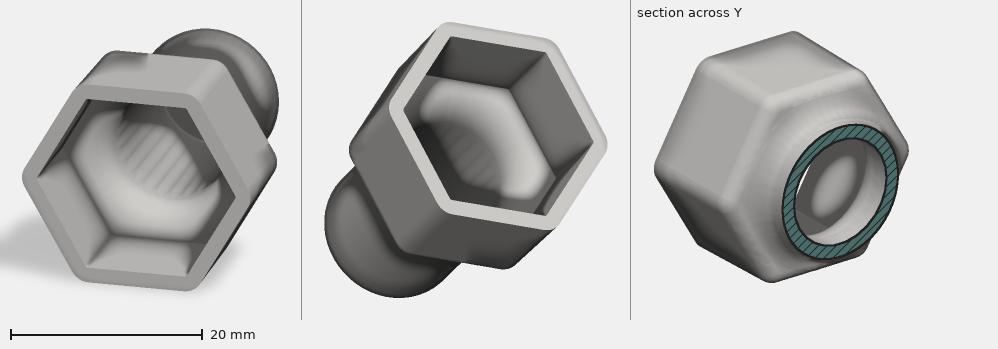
import cadquery as cq
import math

length = 32.0
wall = 1.63

hex_flats = 21.95
hex_height = 12.5
hex_corner_radius = 2.08
hex_draft = 1.0
hex_shoulder_radius = 1.45

stem_radius = 7.5
stem_end_radius = 3.5
stem_flare_radius = 2.5

pocket_flats = hex_flats - 2 * wall
pocket_depth = 10.0
pocket_corner_radius = 0.3
pocket_draft = 0.5

bore_radius = 6.0
bore_draft = 1.0
bore_floor_radius = 0.22
bore_flare_radius = 3.5
bore_end = length - wall

tolerance = 0.003


def hexagon_prism(flats, height, draft, corner_radius=None):
    """Hexagonal prism from y = 0 along +Y with corners on the X axis, narrowing by the draft angle."""
    outline = cq.Sketch().regularPolygon(flats / math.sqrt(3), 6, 90)
    if corner_radius:
        outline = outline.vertices().fillet(corner_radius)
    return cq.Workplane("XZ").placeSketch(outline).extrude(-height, taper=draft)


def flared_round(radius, foot_y, flare_radius, end_y, end_radius, draft=0.0):
    """Solid of revolution about Y: a concave flared foot, a straight or drafted side and a rounded end."""
    slope = math.radians(draft)
    side_start_radius = radius + flare_radius * (1 - math.cos(slope))
    side_start_y = foot_y + flare_radius * (1 - math.sin(slope))
    side_end_radius = side_start_radius - (end_y - side_start_y) * math.tan(slope)
    return (
        cq.Workplane("XY")
        .moveTo(0, foot_y)
        .lineTo(radius + flare_radius, foot_y)
        .radiusArc((side_start_radius, side_start_y), flare_radius)
        .lineTo(side_end_radius, end_y)
        .lineTo(0, end_y)
        .close()
        .revolve(360, (0, 0), (0, 1))
        .faces(">Y")
        .edges()
        .fillet(end_radius)
    )


def is_shoulder_edge(edge):
    """True for the outer edges around the closed end of the skirt, outside the stem's foot."""
    box = edge.BoundingBox()
    lowest_gap = abs(box.ymin - hex_height)
    highest_gap = abs(box.ymax - hex_height)
    middle = edge.positionAt(0.5)
    is_outside_foot = math.hypot(middle.x, middle.z) > stem_radius + stem_flare_radius + tolerance
    return max(lowest_gap, highest_gap) < tolerance and is_outside_foot


def make_outside():
    """Skirt and stem joined, with the skirt's shoulder rounded into the stem's foot."""
    skirt = hexagon_prism(hex_flats, hex_height, hex_draft, hex_corner_radius)
    stem = flared_round(stem_radius, hex_height, stem_flare_radius, length, stem_end_radius)
    joined = skirt.union(stem)
    shoulder_edges = [edge for edge in joined.edges().vals() if is_shoulder_edge(edge)]
    return joined.newObject(shoulder_edges).fillet(hex_shoulder_radius)


def make_cavity():
    """Hexagonal pocket leading through a flared step, kept inside the hexagon, to the blind bore."""
    pocket = hexagon_prism(pocket_flats, pocket_depth, pocket_draft, pocket_corner_radius)
    bore = flared_round(
        bore_radius, pocket_depth, bore_flare_radius, bore_end, bore_floor_radius, bore_draft
    )
    bore_limit = hexagon_prism(pocket_flats, length, pocket_draft)
    return pocket.union(bore.intersect(bore_limit))


cap = make_outside().cut(make_cavity())

result = cq.Compound.makeCompound([cap.val()])